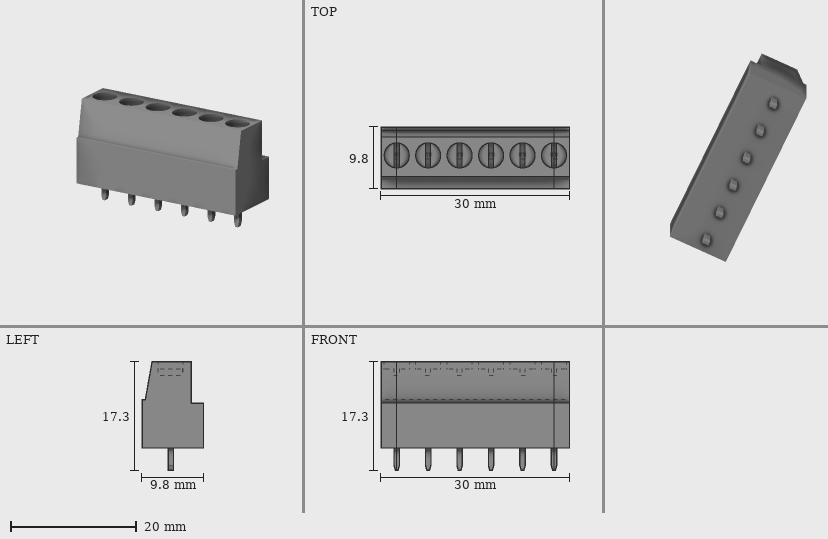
import cadquery as cq

length = 30.0
pole_count = 6
pitch = length / pole_count
depth = 9.8
body_height = 13.77

shoulder_depth = 1.98
shoulder_height = 7.15
ledge_depth = 0.5
ledge_height = 7.7
slope_top_inset = 1.6

recess_diameter = 4.0
recess_depth = 1.2
slot_width = 0.8
slot_depth = 1.0
screw_rear_inset = 4.5

pin_length = 3.55
pin_width = 0.9
pin_thickness = 0.9
pin_rear_inset = 4.6
pin_tip_height = 0.8
pin_tip_width = 0.45

front_y = -depth / 2
rear_y = depth / 2
screw_y = rear_y - screw_rear_inset
pin_y = rear_y - pin_rear_inset
left_end = -length / 2
right_end = length / 2
pole_positions = [left_end + pitch * (index + 0.5) for index in range(pole_count)]
first_pole = pole_positions[0]
last_pole = pole_positions[-1]


def make_block(x_start, x_end):
    """Plain stretch of the housing profile between two X positions."""
    outline = [
        (front_y, 0),
        (rear_y, 0),
        (rear_y, ledge_height),
        (rear_y - ledge_depth, ledge_height),
        (rear_y - slope_top_inset, body_height),
        (front_y + shoulder_depth, body_height),
        (front_y + shoulder_depth, shoulder_height),
        (front_y, shoulder_height),
    ]
    return cq.Workplane("YZ", origin=(x_start, 0, 0)).polyline(outline).close().extrude(x_end - x_start)


def make_screw_cut(x):
    """Round recess with a slot across its floor, the slot ending at the recess wall."""
    floor = cq.Workplane("XY", origin=(x, screw_y, body_height - recess_depth))
    recess = floor.circle(recess_diameter / 2).extrude(recess_depth)
    slot_outline = floor.circle(recess_diameter / 2).extrude(-slot_depth)
    slot = floor.rect(slot_width, recess_diameter).extrude(-slot_depth).intersect(slot_outline)
    return recess.union(slot)


def make_pin(x):
    """Rectangular pin hanging from the underside, narrowed toward its tip."""
    taper_z = pin_tip_height - pin_length
    outline = [
        (-pin_width / 2, 0),
        (-pin_width / 2, taper_z),
        (-pin_tip_width / 2, -pin_length),
        (pin_tip_width / 2, -pin_length),
        (pin_width / 2, taper_z),
        (pin_width / 2, 0),
    ]
    return (
        cq.Workplane("XZ", origin=(x, pin_y, 0))
        .polyline(outline)
        .close()
        .extrude(pin_thickness / 2, both=True)
    )


def make_section(x_start, x_end):
    """One solid section of the terminal block, cut square at both X positions."""
    section = make_block(x_start, x_end)
    total_height = body_height + pin_length
    span = (
        cq.Workplane("XY", origin=((x_start + x_end) / 2, 0, -pin_length))
        .box(x_end - x_start, depth, total_height, centered=(True, True, False))
    )
    for x in pole_positions:
        if x_start <= x <= x_end:
            section = section.cut(make_screw_cut(x))
            section = section.union(make_pin(x).intersect(span))
    return section.solids()


left_end_section = make_section(left_end, first_pole)
middle_section = make_section(first_pole, last_pole)
right_end_section = make_section(last_pole, right_end)

result = cq.Compound.makeCompound([
    left_end_section.val(),
    middle_section.val(),
    right_end_section.val(),
])